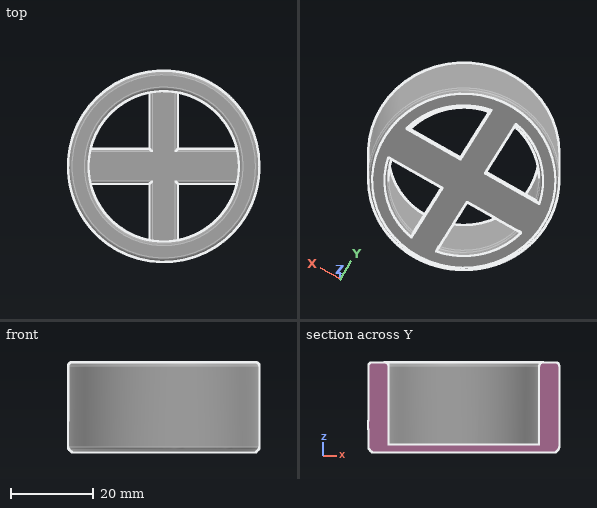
import cadquery as cq

outer_diameter = 46.5
inner_diameter = 36.5
height = 22.0
edge_radius = 1.0
bottom_chamfer = 1.0
centre_tolerance = 0.01

bar_along_x_width = 8.6
bar_along_y_width = 7.0
cross_height = 2.0
cross_edge_radius = 0.75

outer_radius = outer_diameter / 2
inner_radius = inner_diameter / 2
wall_middle_radius = (outer_radius + inner_radius) / 2


def make_ring():
    """Tube with rounded top rims; the bottom rims are chamfered and blended into the walls."""
    ring = cq.Workplane("XY").circle(outer_radius).circle(inner_radius).extrude(height)
    ring = ring.faces(">Z").edges().fillet(edge_radius)
    ring = ring.faces("<Z").edges().chamfer(bottom_chamfer)
    chamfer_top_centre = cq.selectors.BoxSelector(
        (-centre_tolerance, -centre_tolerance, bottom_chamfer - centre_tolerance),
        (centre_tolerance, centre_tolerance, bottom_chamfer + centre_tolerance),
    )
    return ring.edges(chamfer_top_centre).fillet(edge_radius)


def make_cross():
    """Two crossing bars with rounded top edges, trimmed to end inside the ring wall."""
    bar_length = outer_diameter
    bar_along_x = cq.Workplane("XY").rect(bar_length, bar_along_x_width).extrude(cross_height)
    bar_along_y = cq.Workplane("XY").rect(bar_along_y_width, bar_length).extrude(cross_height)
    cross = bar_along_x.union(bar_along_y)
    cross = cross.faces(">Z").edges().fillet(cross_edge_radius)
    trim = cq.Workplane("XY").circle(wall_middle_radius).extrude(cross_height)
    return cross.intersect(trim)


result = make_ring().union(make_cross())